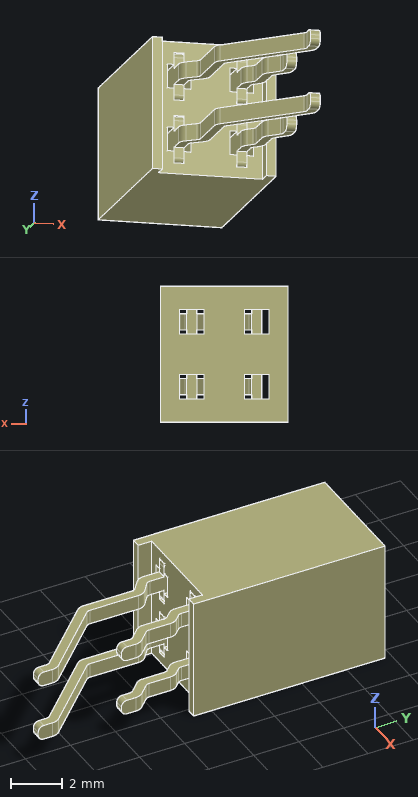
import cadquery as cq
import math


overall_length = 15.4

housing_width = 5.0
housing_height = 5.33
housing_depth = 7.9
rib_thickness = 0.4
rib_length = 0.6
hole_side = 0.95

pitch = 2.54
left_column = -pitch / 2
right_column = pitch / 2
rows = [-pitch / 2, pitch / 2]

pin_thickness = 0.4
pin_height = 0.65
inner_bend_radius = 0.25
outer_bend_radius = 0.5
tip_radius = 0.25
second_jog_angle = math.radians(45)
tip_x = (housing_width - pin_thickness) / 2

shoulder_height = 1.91
shoulder_depth = 1.54
shoulder_radius = 0.2

long_pin = {
    "column": left_column,
    "first_jog": 0.85,
    "first_jog_length": 0.51,
    "first_jog_step": 0.66,
    "second_jog": 3.83,
    "reach": overall_length - housing_depth,
}
short_pin = {
    "column": right_column,
    "first_jog": 0.77,
    "first_jog_length": 0.42,
    "first_jog_step": 0.42,
    "second_jog": 2.43,
    "reach": 3.8,
}


def block_behind_floor(width, depth, height, x=0, z=0):
    """Rectangular block that runs from the floor toward +Y, centred on (x, z)."""
    block = cq.Workplane("XY").box(width, depth, height, centered=(True, False, True))
    return block.translate((x, 0, z))


def shoulder_blank(column, row):
    """Square-edged shoulder, also the shape of its slot in the housing."""
    return block_behind_floor(pin_thickness, shoulder_depth, shoulder_height, column, row)


def make_housing():
    body = block_behind_floor(housing_width, housing_depth, housing_height)
    for side in (-1, 1):
        rib = (
            cq.Workplane("XY")
            .box(rib_thickness, rib_length, housing_height)
            .translate((side * (housing_width - rib_thickness) / 2, -rib_length / 2, 0))
        )
        body = body.union(rib)
    for column in (left_column, right_column):
        for row in rows:
            hole = block_behind_floor(hole_side, housing_depth, hole_side, column, row)
            body = body.cut(hole).cut(shoulder_blank(column, row))
    return body


def bend_corners(pin):
    """Sharp left-side and right-side corners of the four bends, from the floor outward."""
    middle_x = pin["column"] + pin["first_jog_step"]
    second_jog_length = (tip_x - middle_x) / math.tan(second_jog_angle)
    first_angle = math.atan2(pin["first_jog_step"], pin["first_jog_length"])
    bends = [
        (pin["column"], -pin["first_jog"], first_angle),
        (middle_x, -pin["first_jog"] - pin["first_jog_length"], first_angle),
        (middle_x, -pin["second_jog"], second_jog_angle),
        (tip_x, -pin["second_jog"] - second_jog_length, second_jog_angle),
    ]
    half = pin_thickness / 2
    left = []
    right = []
    for x, y, angle in bends:
        miter = half * math.tan(angle / 2)
        left.append((x - half, y - miter))
        right.append((x + half, y + miter))
    return left, right


def make_pin(pin, row):
    left, right = bend_corners(pin)
    half = pin_thickness / 2
    start = [(pin["column"] + half, 0), (pin["column"] - half, 0)]
    tip = [(tip_x - half, -pin["reach"]), (tip_x + half, -pin["reach"])]
    tail = (
        cq.Workplane("XY")
        .polyline(start + left + tip + right[::-1])
        .close()
        .extrude(pin_height / 2, both=True)
    )
    tail = tail.faces("<Y").edges("|X").fillet(tip_radius)

    for index in range(len(left)):
        turns_to_right = index % 2 == 0
        left_radius = outer_bend_radius if turns_to_right else inner_bend_radius
        right_radius = inner_bend_radius if turns_to_right else outer_bend_radius
        for corner, radius in ((left[index], left_radius), (right[index], right_radius)):
            tail = tail.edges(cq.selectors.NearestToPointSelector((*corner, 0))).fillet(radius)

    shoulder = shoulder_blank(pin["column"], row).edges("|X and <Y").fillet(shoulder_radius)
    return tail.translate((0, 0, row)).union(shoulder)


housing = make_housing()
long_pins = [make_pin(long_pin, row) for row in rows]
short_pins = [make_pin(short_pin, row) for row in rows]

result = cq.Compound.makeCompound([housing.val(), *[pin.val() for pin in long_pins + short_pins]])